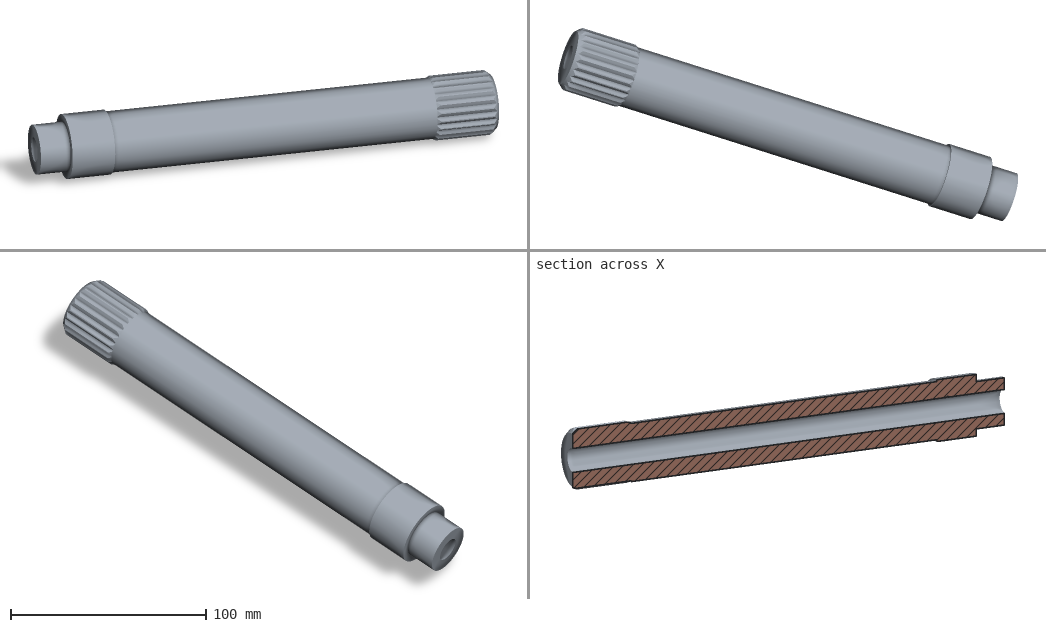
import cadquery as cq
import math

total_length = 242.5
nose_length = 15.8
collar_length = 22.5
spline_length = 33.0

collar_radius = 16.7
shaft_radius = 15.8
nose_radius = 12.9
bore_radius = 6.3

tooth_count = 23
crest_radius = collar_radius
root_radius = 15.3
crest_width = 0.6
end_bevel_depth = 2.5
end_bevel_length = 3.0
shoulder_bevel_length = 1.7

shaft_start = nose_length + collar_length
spline_start = total_length - spline_length


def revolve_about_y(outline):
    """Revolve a closed (radius, y) outline a full turn about the Y axis."""
    return cq.Workplane("XY").polyline(outline).close().revolve(360, (0, 0, 0), (0, 1, 0))


def ring_point(radius, angle):
    """(x, z) point at a radius, with the angle measured from +Z toward +X."""
    return (radius * math.sin(angle), radius * math.cos(angle))


def make_shaft():
    """Stepped round shaft: nose, collar and plain length up to the spline."""
    return revolve_about_y([
        (0, 0),
        (nose_radius, 0),
        (nose_radius, nose_length),
        (collar_radius, nose_length),
        (collar_radius, shaft_start),
        (shaft_radius, shaft_start),
        (shaft_radius, spline_start),
        (0, spline_start),
    ])


def make_spline():
    """Toothed head with one crest on +Z, bevelled at both ends."""
    half_pitch = math.pi / tooth_count
    half_crest = math.asin(crest_width / 2 / crest_radius)
    profile = []
    for index in range(tooth_count):
        crest_angle = 2 * index * half_pitch
        profile.append(ring_point(crest_radius, crest_angle - half_crest))
        profile.append(ring_point(crest_radius, crest_angle + half_crest))
        profile.append(ring_point(root_radius, crest_angle + half_pitch))
    teeth = (
        cq.Workplane("XZ", origin=(0, total_length, 0))
        .polyline(profile)
        .close()
        .extrude(spline_length)
    )
    envelope = revolve_about_y([
        (0, spline_start),
        (shaft_radius, spline_start),
        (crest_radius, spline_start + shoulder_bevel_length),
        (crest_radius, total_length - end_bevel_length),
        (crest_radius - end_bevel_depth, total_length),
        (0, total_length),
    ])
    return teeth.intersect(envelope)


def make_bore():
    """Hole along the whole axis."""
    return cq.Workplane("XZ").circle(bore_radius).extrude(-total_length)


result = make_shaft().union(make_spline()).cut(make_bore())